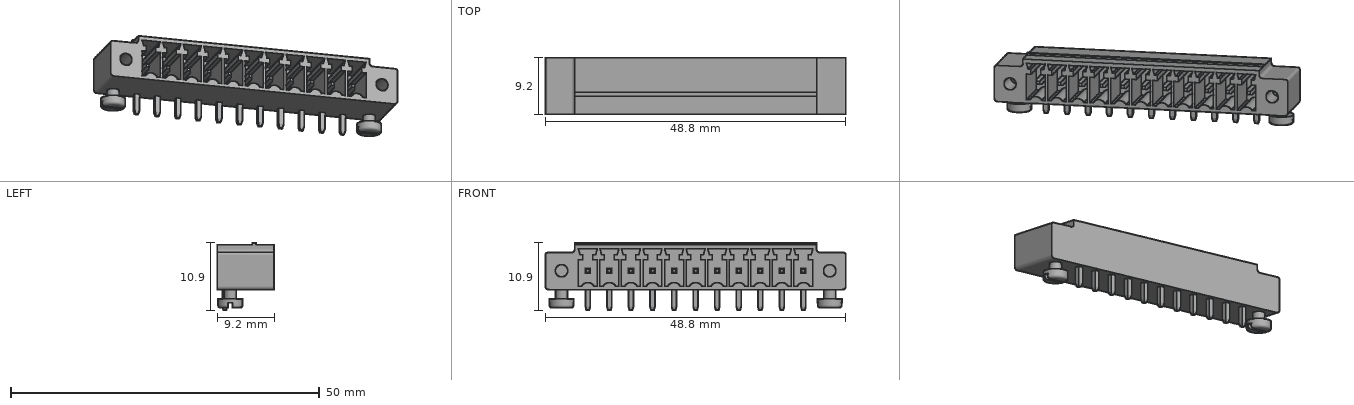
import cadquery as cq

length = 48.8
depth = 9.2
flange_height = 6.05
body_height = 7.3
body_length = 39.3
top_edge_radius = 0.45
bottom_edge_radius = 0.6
step_radius = 0.55
front_y = -depth / 2

rib_height = 0.3
rib_width = 0.65
rib_y = -1.35

contact_count = 11
contact_span = 35.0
pitch = contact_span / (contact_count - 1)
cavity_width = 3.05
cavity_depth = 7.3
cavity_floor_z = 0.6
shoulder_z = 4.85
neck_width = 1.6
neck_top_z = 5.7
key_bottom_width = 2.55
cavity_top_z = 6.65
hump_width = 2.0
hump_height = 0.6

pin_size = 0.85
pin_tip_size = 0.5
pin_tip_length = 0.6
contact_z = 3.05
contact_recess = 1.95
solder_leg_y = 3.35
solder_leg_end_z = -3.3

flange_center_x = 21.75
insert_hole_z = 3.05
insert_hole_diameter = 2.0
insert_hole_depth = 4.9
screw_y = 2.5
shank_diameter = 2.0
head_diameter = 4.0
head_top_z = -1.45
head_height = 1.45
head_edge_radius = 0.45
slot_width = 0.7
slot_depth = 0.8


def make_housing():
    """Low flanged bar with a taller middle part and a thin rib on top."""
    bar = cq.Workplane("XY").box(length, depth, flange_height, centered=(True, True, False))
    bar = bar.edges("|Y and >Z").fillet(top_edge_radius)
    bar = bar.edges("|Y and <Z").fillet(bottom_edge_radius)
    middle = cq.Workplane("XY").box(body_length, depth, body_height, centered=(True, True, False))
    housing = bar.union(middle)
    half_length = body_length / 2
    step_corners = cq.selectors.BoxSelector(
        (-half_length - step_radius / 2, -depth, flange_height - step_radius / 2),
        (half_length + step_radius / 2, depth, flange_height + step_radius / 2),
    )
    housing = housing.edges("|Y").edges(step_corners).fillet(step_radius)
    rib = (
        cq.Workplane("XY", origin=(0, rib_y, body_height))
        .box(body_length, rib_width, rib_height, centered=(True, True, False))
    )
    return housing.union(rib)


def make_cavity(x):
    """Keyed cavity with a T-shaped top and an arched hump on its floor."""
    half_width = cavity_width / 2
    half_neck = neck_width / 2
    half_key = key_bottom_width / 2
    half_hump = hump_width / 2
    return (
        cq.Workplane("XZ", origin=(x, front_y, 0))
        .moveTo(-half_width, cavity_floor_z)
        .lineTo(-half_hump, cavity_floor_z)
        .threePointArc((0, cavity_floor_z + hump_height), (half_hump, cavity_floor_z))
        .lineTo(half_width, cavity_floor_z)
        .lineTo(half_width, shoulder_z)
        .lineTo(half_neck, shoulder_z)
        .lineTo(half_neck, neck_top_z)
        .lineTo(half_key, neck_top_z)
        .lineTo(half_width, cavity_top_z)
        .lineTo(-half_width, cavity_top_z)
        .lineTo(-half_key, neck_top_z)
        .lineTo(-half_neck, neck_top_z)
        .lineTo(-half_neck, shoulder_z)
        .lineTo(-half_width, shoulder_z)
        .close()
        .extrude(-cavity_depth)
    )


def make_leg(plane, leg_length):
    """Square pin leg starting at the plane origin, ending in a tapered tip."""
    shaft_length = leg_length - pin_tip_length
    shaft = cq.Workplane(plane).rect(pin_size, pin_size).extrude(shaft_length)
    tip = (
        cq.Workplane(plane)
        .workplane(offset=shaft_length)
        .rect(pin_size, pin_size)
        .workplane(offset=pin_tip_length)
        .rect(pin_tip_size, pin_tip_size)
        .loft(ruled=True)
    )
    return shaft.union(tip)


def make_contact(x):
    """Angled contact whose two legs meet inside the rear wall."""
    corner = (x, solder_leg_y, contact_z)
    forward = cq.Plane(corner, xDir=(1, 0, 0), normal=(0, -1, 0))
    downward = cq.Plane(corner, xDir=(1, 0, 0), normal=(0, 0, -1))
    contact_leg = make_leg(forward, solder_leg_y - front_y - contact_recess)
    solder_leg = make_leg(downward, contact_z - solder_leg_end_z)
    return contact_leg.union(solder_leg)


def make_insert_hole(x):
    """Blind hole in the front face of a flange."""
    return (
        cq.Workplane("XZ", origin=(x, front_y, insert_hole_z))
        .circle(insert_hole_diameter / 2)
        .extrude(-insert_hole_depth)
    )


def make_screw(x):
    """Slotted mounting screw hanging below a flange."""
    head_bottom_z = head_top_z - head_height
    shank = (
        cq.Workplane("XY", origin=(x, screw_y, head_top_z))
        .circle(shank_diameter / 2)
        .extrude(-head_top_z)
    )
    head = (
        cq.Workplane("XY", origin=(x, screw_y, head_bottom_z))
        .circle(head_diameter / 2)
        .extrude(head_height)
        .edges("<Z")
        .fillet(head_edge_radius)
    )
    slot = (
        cq.Workplane("XY", origin=(x, screw_y, head_bottom_z))
        .box(head_diameter, slot_width, slot_depth, centered=(True, True, False))
    )
    return head.cut(slot).union(shank)


result = make_housing()

for index in range(contact_count):
    contact_x = index * pitch - contact_span / 2
    result = result.cut(make_cavity(contact_x)).union(make_contact(contact_x))

for flange_x in (-flange_center_x, flange_center_x):
    result = result.cut(make_insert_hole(flange_x)).union(make_screw(flange_x))